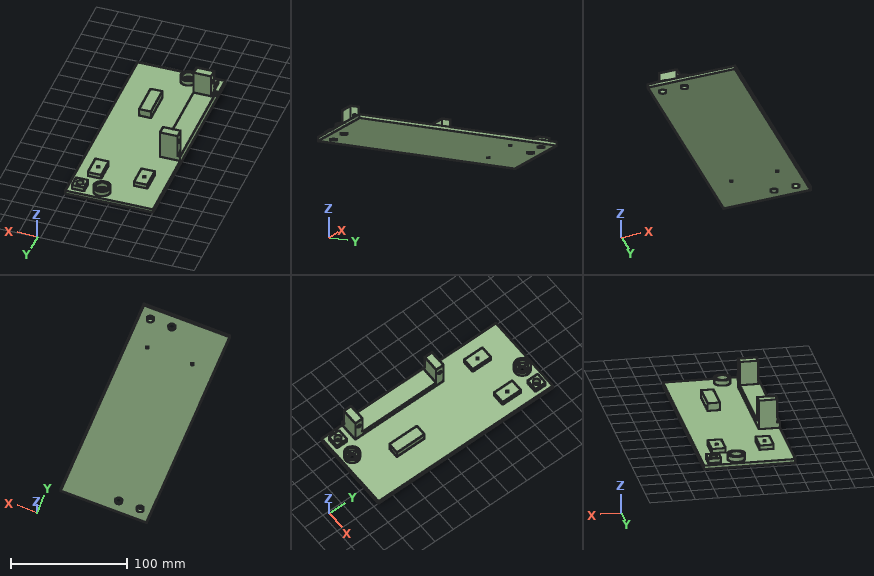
import cadquery as cq

plate_width = 80.0
plate_length = 190.0
plate_thickness = 3.5
total_height = 30.0

ledge_width = 18.5
ledge_start = 22.5
ledge_length = 96.1
ledge_top = 8.4
post_inset = 2.3
post_thickness = 8.0
post_hole_diameter = 3.0
post_hole_height = 21.3

mount_edge_distance = 10.0
mount_hole_diameter = 6.0
pad_size = 11.0
low_block_height = 4.0
collar_edge_distance = 30.0
collar_bore = 11.0
collar_height = 4.8
front_collar_diameter = 14.0
rear_collar_diameter = 15.0

block_width = 12.2
block_length = 20.0
block_centers_x = (20.3, 62.3)
block_center_y = 154.0
pin_hole_diameter = 2.0

bar_width = 10.6
bar_length = 30.0
bar_height = 7.0
bar_left = 43.5
bar_front = 40.0


def box(x, y, z, width, length, height):
    """Box with its lowest corner at (x, y, z)."""
    return cq.Workplane("XY").box(width, length, height, centered=False).translate((x, y, z))


def centered_block(x, y, width, length, height):
    """Block standing on the plate, centered on (x, y)."""
    return box(x - width / 2, y - length / 2, plate_thickness, width, length, height)


def cylinder(x, y, z, diameter, height):
    """Vertical cylinder with its bottom center at (x, y, z)."""
    return cq.Workplane("XY").circle(diameter / 2).extrude(height).translate((x, y, z))


def through_hole(x, y, diameter):
    """Cutter that runs the full height of the part."""
    return cylinder(x, y, 0, diameter, total_height)


def add_ledge(body):
    """Ledge and its end posts, each with a cross hole along X."""
    body = body.union(box(0, ledge_start, 0, ledge_width, ledge_length, ledge_top))
    post_width = ledge_width - post_inset
    for post_y in (ledge_start, ledge_start + ledge_length - post_thickness):
        post = box(post_inset, post_y, 0, post_width, post_thickness, total_height)
        hole = (
            cq.Workplane("YZ")
            .center(post_y + post_thickness / 2, post_hole_height)
            .circle(post_hole_diameter / 2)
            .extrude(ledge_width)
        )
        body = body.union(post).cut(hole)
    return body


def add_mount(body, pad_x, collar_x, y, collar_diameter):
    """Square pad and round collar, each over a hole through the plate."""
    collar = cylinder(collar_x, y, plate_thickness, collar_diameter, collar_height)
    bore = cylinder(collar_x, y, plate_thickness, collar_bore, collar_height)
    body = body.union(centered_block(pad_x, y, pad_size, pad_size, low_block_height))
    body = body.union(collar.cut(bore))
    for hole_x in (pad_x, collar_x):
        body = body.cut(through_hole(hole_x, y, mount_hole_diameter))
    return body


def add_pin_blocks(body):
    """Two blocks with a small hole through each block and the plate."""
    for x in block_centers_x:
        body = body.union(centered_block(x, block_center_y, block_width, block_length, low_block_height))
        body = body.cut(through_hole(x, block_center_y, pin_hole_diameter))
    return body


plate = box(0, 0, 0, plate_width, plate_length, plate_thickness)
body = add_ledge(plate)
body = add_mount(body, mount_edge_distance, collar_edge_distance, mount_edge_distance, front_collar_diameter)
body = add_mount(
    body,
    plate_width - mount_edge_distance,
    plate_width - collar_edge_distance,
    plate_length - mount_edge_distance,
    rear_collar_diameter,
)
body = add_pin_blocks(body)
result = body.union(box(bar_left, bar_front, plate_thickness, bar_width, bar_length, bar_height))